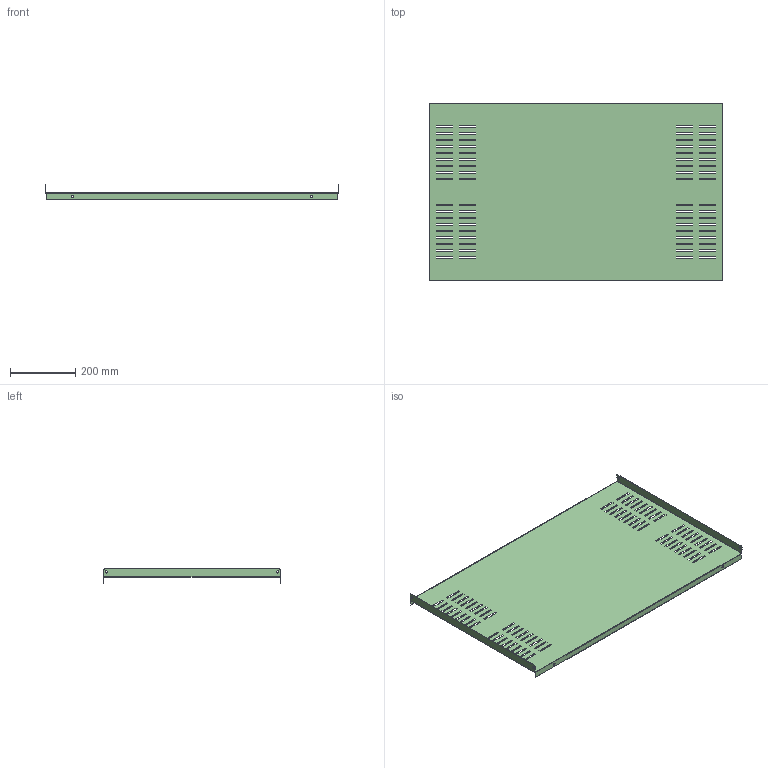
import cadquery as cq

length_x = 899.0
width_y = 544.0
height_z = 45.0

sheet = 0.75
bend_radius = sheet
shelf_top_z = 19.5
shelf_bottom_z = shelf_top_z - sheet

lip_end_inset = 3.5
side_corner_radius = 5.0
side_step_z = 33.0
side_step_inset = 1.5

lip_hole_diameter = 7.0
lip_hole_x = 366.6
lip_hole_z = 9.5
side_hole_diameter = 7.0
side_hole_inset_y = 9.0
side_hole_z = height_z - 10.0

slot_length = 50.0
slot_width = 5.0
slot_column_x = (333.8, 403.8)
slot_first_y = 40.0
slot_pitch_y = 20.05
slots_per_column = 9


def box_between_heights(size_x, size_y, bottom_z, top_z):
    """Box centred on the Z axis, standing between two heights."""
    block = cq.Workplane("XY").box(size_x, size_y, top_z - bottom_z, centered=(True, True, False))
    return block.translate((0, 0, bottom_z))


def make_side_flanges():
    """Flat shelf with an upright, bent flange along each X end."""
    shelf_width = width_y - 2 * side_step_inset
    tabs = box_between_heights(length_x, width_y, side_step_z, height_z)
    tabs = tabs.edges("|X and >Z").fillet(side_corner_radius)
    base = box_between_heights(length_x, shelf_width, shelf_bottom_z, side_step_z)
    base = base.edges("|Y and <Z").fillet(bend_radius)
    inside = box_between_heights(length_x - 2 * sheet, width_y, shelf_top_z, height_z)
    return base.union(tabs).cut(inside)


def make_lipped_shelf():
    """Flat shelf with a downward, bent lip along each Y edge."""
    lip_length = length_x - 2 * lip_end_inset
    outside = box_between_heights(lip_length, width_y, 0, shelf_top_z)
    outside = outside.edges("|X and >Z").fillet(bend_radius)
    inside = box_between_heights(lip_length, width_y - 2 * sheet, 0, shelf_bottom_z)
    return outside.cut(inside)


def make_slots():
    """Cutters for the ventilation slots, mirrored into all four corners."""
    points = []
    for x in slot_column_x:
        for row in range(slots_per_column):
            y = slot_first_y + row * slot_pitch_y
            points += [(x, y), (-x, y), (x, -y), (-x, -y)]
    return cq.Workplane("XY").pushPoints(points).rect(slot_length, slot_width).extrude(height_z)


def make_lip_holes():
    """Cutters for the fixing holes through the front and rear lips."""
    points = [(-lip_hole_x, lip_hole_z), (lip_hole_x, lip_hole_z)]
    return cq.Workplane("XZ").pushPoints(points).circle(lip_hole_diameter / 2).extrude(width_y, both=True)


def make_side_holes():
    """Cutters for the fixing holes near the ends of the side flanges."""
    y = width_y / 2 - side_hole_inset_y
    points = [(-y, side_hole_z), (y, side_hole_z)]
    return cq.Workplane("YZ").pushPoints(points).circle(side_hole_diameter / 2).extrude(length_x, both=True)


shelf = make_side_flanges().union(make_lipped_shelf())
result = shelf.cut(make_slots()).cut(make_lip_holes()).cut(make_side_holes())